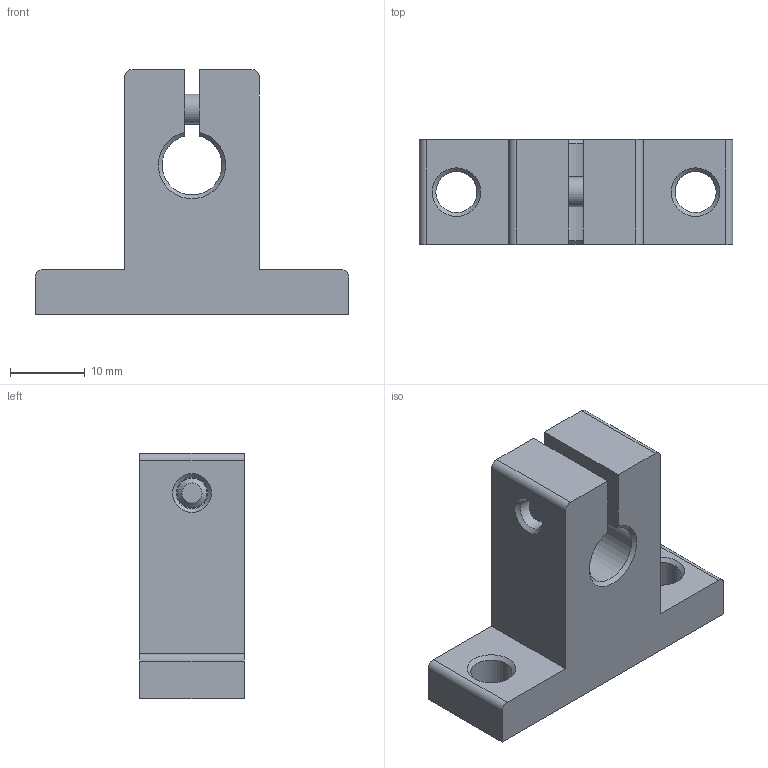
import cadquery as cq

BASE_LENGTH = 42.0
DEPTH = 14.0
BASE_HEIGHT = 6.0
TOTAL_HEIGHT = 32.8
TOWER_WIDTH = 18.0
CORNER_RADIUS = 1.0

EDGE_BREAK = 0.5

BORE_DIAMETER = 8.0
BORE_HEIGHT = 20.0
SLOT_WIDTH = 2.0

MOUNT_DIAMETER = 5.5
MOUNT_SPACING = 32.0

SCREW_DIAMETER = 4.0
SCREW_HOLE_DIAMETER = 4.2
SCREW_HEIGHT = 27.5
SCREW_TIP_DEPTH = 1.5
SCREW_TIP_CHAMFER = 0.65
SCREW_EMBED = 2.0

HALF_TOWER = TOWER_WIDTH / 2
HALF_DEPTH = DEPTH / 2


def chamfered_hole(center, direction, length, diameter, both_ends):
    """Cutting tool for a hole from `center` along `direction`, countersunk at its mouth(s)."""
    start = cq.Vector(*center)
    axis = cq.Vector(*direction)
    radius = diameter / 2
    tool = cq.Solid.makeCylinder(radius, length, start, axis)
    mouth = cq.Solid.makeCone(radius + EDGE_BREAK, radius, EDGE_BREAK, start, axis)
    tool = tool.fuse(mouth)
    if both_ends:
        end = start + axis * length
        tool = tool.fuse(cq.Solid.makeCone(radius + EDGE_BREAK, radius, EDGE_BREAK, end, axis * -1))
    return tool


def make_body():
    """Inverted-T block, centred on X and Y with its underside at Z = 0."""
    base = cq.Workplane("XY").box(BASE_LENGTH, DEPTH, BASE_HEIGHT, centered=(True, True, False))
    tower = cq.Workplane("XY").box(TOWER_WIDTH, DEPTH, TOTAL_HEIGHT, centered=(True, True, False))
    base = base.edges("|Y").edges(">Z").fillet(CORNER_RADIUS)
    tower = tower.edges("|Y").edges(">Z").fillet(CORNER_RADIUS)
    return base.union(tower)


def cut_bore_and_slot(body):
    bore = chamfered_hole(
        (0, -HALF_DEPTH, BORE_HEIGHT), (0, 1, 0), DEPTH, BORE_DIAMETER, both_ends=True
    )
    slot = (
        cq.Workplane("XY")
        .workplane(offset=BORE_HEIGHT)
        .rect(SLOT_WIDTH, DEPTH)
        .extrude(TOTAL_HEIGHT - BORE_HEIGHT)
    )
    return body.cut(cq.Workplane(bore)).cut(slot)


def cut_mounting_holes(body):
    for side in (-1, 1):
        center = (side * MOUNT_SPACING / 2, 0, BASE_HEIGHT)
        hole = chamfered_hole(
            center, (0, 0, -1), BASE_HEIGHT, MOUNT_DIAMETER, both_ends=False
        )
        body = body.cut(cq.Workplane(hole))
    return body


def add_clamp_screw(body):
    """Open the screw hole in the -X jaw and bridge the slot with the screw shank."""
    hole = chamfered_hole(
        (-HALF_TOWER, 0, SCREW_HEIGHT),
        (1, 0, 0),
        HALF_TOWER - SLOT_WIDTH / 2,
        SCREW_HOLE_DIAMETER,
        both_ends=False,
    )
    tip_x = SCREW_TIP_DEPTH - HALF_TOWER
    screw = (
        cq.Workplane("YZ", origin=(tip_x, 0, SCREW_HEIGHT))
        .circle(SCREW_DIAMETER / 2)
        .extrude(SLOT_WIDTH / 2 + SCREW_EMBED - tip_x)
        .faces("<X")
        .chamfer(SCREW_TIP_CHAMFER)
    )
    return body.cut(cq.Workplane(hole)).union(screw)


result = make_body()
result = cut_bore_and_slot(result)
result = cut_mounting_holes(result)
result = add_clamp_screw(result)